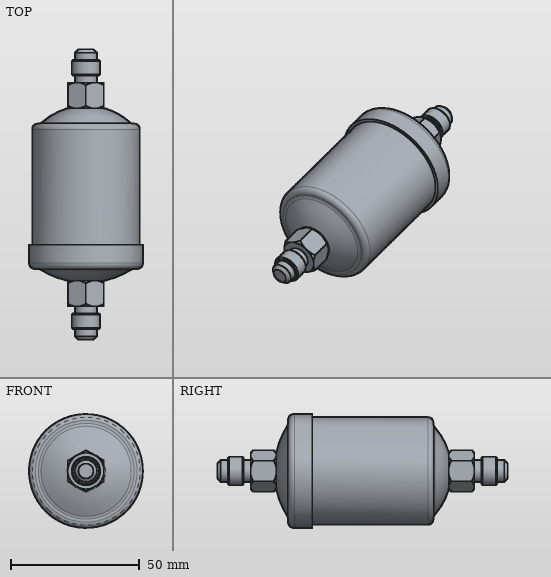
import cadquery as cq
import math

total_length = 113.0
half_length = total_length / 2

body_radius = 21.0
shell_thickness = 1.2
cap_radius = body_radius + shell_thickness
body_shoulder_setback = 28.9
body_shoulder_fillet = 2.3
cap_shoulder_setback = 27.5
cap_shoulder_fillet = 2.4
cap_edge_setback = 37.0

rim_radius = 7.45
rim_setback = 23.0
body_dome_foot_radius = 17.6
cap_dome_foot_radius = 18.0
dome_blend = 2.0

flare_radius = 4.3
flare_chamfer = 1.4
thread_diameter = 11.11
thread_start = 4.2
thread_end = 10.3
thread_chamfer = 0.5
hex_flats = 14.0
hex_start = 13.0
hex_end = rim_setback
hex_end_radius = 7.05
hex_corner_angle = 30.0
core_embed = 2.0


def domed_cylinder(radius, length, rim_height, foot_radius, shoulder_fillet):
    """Cylinder from Z=0 to a shoulder at Z=length, under a spherical dome cut flat at its rim."""
    rise = rim_height - length
    centre_drop = (foot_radius**2 - rim_radius**2 - rise**2) / (2 * rise)
    sphere_radius = math.hypot(foot_radius, centre_drop)
    middle_radius = (rim_radius + foot_radius) / 2
    middle_height = length - centre_drop + math.sqrt(sphere_radius**2 - middle_radius**2)
    solid = (
        cq.Workplane("XZ")
        .moveTo(0, 0)
        .lineTo(radius, 0)
        .lineTo(radius, length)
        .lineTo(foot_radius, length)
        .threePointArc((middle_radius, middle_height), (rim_radius, rim_height))
        .lineTo(0, rim_height)
        .close()
        .revolve(360, (0, 0, 0), (0, 1, 0))
    )
    solid = fillet_circle(solid, radius, length, shoulder_fillet)
    return fillet_circle(solid, foot_radius, length, dome_blend)


def fillet_circle(solid, circle_radius, height, fillet_radius):
    """Fillet the circular edge of the given radius and height about the Z axis."""
    tolerance = 0.01
    edge = solid.edges("%CIRCLE").filter(
        lambda circle: abs(circle.radius() - circle_radius) < tolerance
        and abs(circle.Center().z - height) < tolerance
    )
    return edge.fillet(fillet_radius)


def cylinder(radius, start, end):
    """Cylinder along Z between two distances measured inward from the connector tip."""
    base = cq.Workplane("XY").workplane(offset=half_length - end)
    return base.circle(radius).extrude(end - start)


def hex_nut():
    """Hexagon with corners on the part's Z axis and both ends chamfered by a cone."""
    corner_diameter = hex_flats / math.cos(math.radians(hex_corner_angle))
    length = hex_end - hex_start
    prism = (
        cq.Workplane("XY")
        .workplane(offset=half_length - hex_end)
        .transformed(rotate=(0, 0, 90))
        .polygon(6, corner_diameter)
        .extrude(length)
    )
    chamfer = corner_diameter / 2 - hex_end_radius
    envelope = cylinder(corner_diameter / 2, hex_start, hex_end).faces("<Z or >Z").chamfer(chamfer)
    return prism.intersect(envelope)


def connector():
    """Flare connector pointing along +Z with its tip at half_length."""
    flare = cylinder(flare_radius, 0, hex_end + core_embed).faces(">Z").chamfer(flare_chamfer)
    thread = cylinder(thread_diameter / 2, thread_start, thread_end)
    thread = thread.faces("<Z or >Z").chamfer(thread_chamfer)
    return flare.union(thread).union(hex_nut())


def toward_plus_y(shape):
    return shape.rotate((0, 0, 0), (1, 0, 0), -90)


def toward_minus_y(shape):
    return shape.rotate((0, 0, 0), (1, 0, 0), 90)


body_top = half_length - body_shoulder_setback
cap_bottom = half_length - cap_edge_setback
cap_height = cap_edge_setback - cap_shoulder_setback
rim_height = half_length - rim_setback

body_end = domed_cylinder(body_radius, body_top, rim_height, body_dome_foot_radius, body_shoulder_fillet)
body_under_cap = cq.Workplane("XY").circle(body_radius).extrude(cap_bottom)
cap = domed_cylinder(
    cap_radius, cap_height, rim_height - cap_bottom, cap_dome_foot_radius, cap_shoulder_fillet
).translate((0, 0, cap_bottom))

plus_y_half = toward_plus_y(body_end.union(connector()))
minus_y_half = toward_minus_y(body_under_cap.union(cap).union(connector()))
result = plus_y_half.union(minus_y_half)